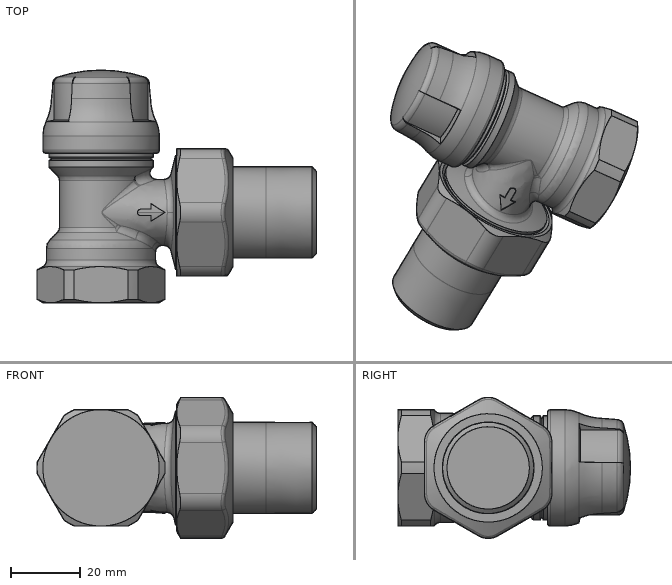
import cadquery as cq
import math


HEX_FLATS_TO_CORNERS = math.cos(math.pi / 6)

HEX_BOTTOM = -26.0
HEX_CORNER_BOTTOM = -25.0
HEX_CORNER_TOP = -16.55
HEX_TOP = -15.5
HEX_FLATS = 33.5
HEX_CORNER_RADIUS = 18.45
HEX_TOP_RADIUS = 16.6

COLLAR_RADIUS = 15.75
COLLAR_BOTTOM = -13.75
COLLAR_TOP = -8.9
WAIST_RADIUS = 12.0
COLLAR_ROUND = 3.5
WAIST_ROUND = 1.9
RIM_RADIUS = 15.05
RIM_BOTTOM = 13.03
RIM_TOP = 14.95
GROOVE_TOP = 15.9
GROOVE_RADIUS = 14.2

CAP_BOTTOM = 17.0
CAP_RADIUS = 16.8
CAP_EDGE_ROUND = 0.95
CAP_FLARE_BOTTOM = 22.07
CAP_FLARE_MIDDLE = (15.9, 26.07)
CAP_FLARE_TOP = (14.3, 32.75)
CAP_TOP_RADIUS = 13.95
CAP_TOP = 41.0
CAP_DOME_RADIUS = 40.0
CAP_CROWN_INSET = 1.15
CAP_CROWN_HEIGHT = 1.75
WINDOW_RADIUS = 13.6
WINDOW_BOTTOM_INNER = 26.57
WINDOW_BOTTOM_OUTER = 25.95
WINDOW_ANGLE = 47.2
WINDOW_CENTRES = (30, 150, 270)

TUBE_HALF_WIDTH = 9.55
TUBE_HALF_HEIGHT_AT_BODY = 11.98
TUBE_HALF_HEIGHT_AT_FLANGE = 12.95
FLANGE_START = 19.7
FLANGE_END = 21.45
FLANGE_RADIUS = 16.45
FLANGE_ROUND = 2.0
TUBE_BODY_ROUND = 1.8

ARROW_RAISE = 0.3
ARROW_TAIL = 10.5
ARROW_HEAD_START = 14.4
ARROW_TIP = 18.4
ARROW_SHAFT_WIDTH = 1.9
ARROW_HEAD_WIDTH = 5.0

NUT_LEFT = 21.75
NUT_RIGHT = 38.0
NUT_FLATS = 36.7
NUT_CORNER_ROUND = 5.6
NUT_CORNER_DISTANCE = 21.0
NUT_LEFT_FACE_RADIUS = 18.25
NUT_MOUTH_RADIUS = 17.3
NUT_MOUTH_DEPTH = 0.4
NUT_CHAMFER_ANGLE = 30
NUT_RIGHT_FACE_RADIUS = 15.6
NUT_RIGHT_EDGE_ROUND = 1.2

TAIL_END = 62.04
TAIL_RADIUS = 13.2
TAIL_TAPER_START = 47.5
TAIL_TAPER_RADIUS = 13.15
TAIL_CHAMFER = 1.3

EDGE_MARGIN = 0.1


def revolve_about_y(sketch):
    """Close a profile drawn as (radius, Y) and turn it about the body axis."""
    return sketch.close().revolve(360, (0, 0, 0), (0, 1, 0))


def revolve_about_x(sketch):
    """Close a profile drawn as (X, radius) and turn it about the branch axis."""
    return sketch.close().revolve(360, (0, 0, 0), (1, 0, 0))


def edge_ring(height, radius):
    """Select the circular edge of a given radius lying at a given Y on the body axis."""
    reach = radius + EDGE_MARGIN
    return cq.selectors.BoxSelector(
        (-reach, height - EDGE_MARGIN, -reach),
        (reach, height + EDGE_MARGIN, reach),
        boundingbox=True,
    )


def make_hex_end():
    across_corners = HEX_FLATS / HEX_FLATS_TO_CORNERS
    prism = (
        cq.Workplane("XZ", origin=(0, HEX_BOTTOM, 0))
        .polygon(6, across_corners)
        .extrude(HEX_BOTTOM - HEX_TOP)
    )
    envelope = revolve_about_y(
        cq.Workplane("XY")
        .moveTo(0, HEX_BOTTOM)
        .lineTo(HEX_FLATS / 2, HEX_BOTTOM)
        .lineTo(HEX_CORNER_RADIUS, HEX_CORNER_BOTTOM)
        .lineTo(HEX_CORNER_RADIUS, HEX_CORNER_TOP)
        .lineTo(HEX_TOP_RADIUS, HEX_TOP)
        .lineTo(0, HEX_TOP)
    )
    return prism.intersect(envelope)


def make_body():
    cone_bottom = COLLAR_TOP + COLLAR_RADIUS - WAIST_RADIUS
    cone_top = RIM_BOTTOM - (RIM_RADIUS - WAIST_RADIUS)
    groove_middle = (RIM_TOP + GROOVE_TOP) / 2
    body = revolve_about_y(
        cq.Workplane("XY")
        .moveTo(0, CAP_BOTTOM)
        .lineTo(RIM_RADIUS, CAP_BOTTOM)
        .lineTo(RIM_RADIUS, GROOVE_TOP)
        .lineTo(GROOVE_RADIUS, groove_middle)
        .lineTo(RIM_RADIUS, RIM_TOP)
        .lineTo(RIM_RADIUS, RIM_BOTTOM)
        .lineTo(WAIST_RADIUS, cone_top)
        .lineTo(WAIST_RADIUS, cone_bottom)
        .lineTo(COLLAR_RADIUS, COLLAR_TOP)
        .lineTo(COLLAR_RADIUS, COLLAR_BOTTOM)
        .tangentArcPoint((HEX_TOP_RADIUS, HEX_TOP), relative=False)
        .lineTo(0, HEX_TOP)
    )
    body = body.edges(edge_ring(cone_top, WAIST_RADIUS)).fillet(WAIST_ROUND)
    body = body.edges(edge_ring(cone_bottom, WAIST_RADIUS)).fillet(WAIST_ROUND)
    return body.edges(edge_ring(COLLAR_TOP, COLLAR_RADIUS)).fillet(COLLAR_ROUND)


def dome_height(radius):
    """Y of the domed cap top at a distance from the body axis."""
    return CAP_TOP - CAP_DOME_RADIUS + math.sqrt(CAP_DOME_RADIUS ** 2 - radius ** 2)


def add_crown(sketch, side_radius):
    """Finish a cap profile: side edge at the given radius, rounded shoulder, domed top."""
    dome_edge = side_radius - CAP_CROWN_INSET
    dome_middle = dome_edge / 2
    return (
        sketch
        .lineTo(side_radius, dome_height(dome_edge) - CAP_CROWN_HEIGHT)
        .tangentArcPoint((dome_edge, dome_height(dome_edge)), relative=False)
        .threePointArc((dome_middle, dome_height(dome_middle)), (0, CAP_TOP))
    )


def make_cap():
    flare = (
        cq.Workplane("XY")
        .moveTo(0, CAP_BOTTOM)
        .lineTo(CAP_RADIUS - CAP_EDGE_ROUND, CAP_BOTTOM)
        .tangentArcPoint((CAP_RADIUS, CAP_BOTTOM + CAP_EDGE_ROUND), relative=False)
        .lineTo(CAP_RADIUS, CAP_FLARE_BOTTOM)
        .tangentArcPoint(CAP_FLARE_MIDDLE, relative=False)
        .tangentArcPoint(CAP_FLARE_TOP, relative=False)
    )
    cap = revolve_about_y(add_crown(flare, CAP_TOP_RADIUS))
    core_base = cq.Workplane("XY").moveTo(0, CAP_BOTTOM).lineTo(WINDOW_RADIUS, CAP_BOTTOM)
    core = revolve_about_y(add_crown(core_base, WINDOW_RADIUS))
    sector = (
        cq.Workplane("XY")
        .moveTo(0, WINDOW_BOTTOM_INNER)
        .lineTo(WINDOW_RADIUS, WINDOW_BOTTOM_INNER)
        .lineTo(CAP_RADIUS, WINDOW_BOTTOM_OUTER)
        .lineTo(CAP_RADIUS, CAP_TOP)
        .lineTo(0, CAP_TOP)
        .close()
        .revolve(WINDOW_ANGLE, (0, 0, 0), (0, 1, 0))
    )
    for centre in WINDOW_CENTRES:
        turn = -centre - WINDOW_ANGLE / 2
        window = sector.rotate((0, 0, 0), (0, 1, 0), turn).cut(core)
        cap = cap.cut(window)
    return cap


def make_tube(raise_by=0.0):
    return (
        cq.Workplane("YZ")
        .ellipse(TUBE_HALF_WIDTH + raise_by, TUBE_HALF_HEIGHT_AT_BODY + raise_by)
        .workplane(offset=FLANGE_END)
        .ellipse(TUBE_HALF_WIDTH + raise_by, TUBE_HALF_HEIGHT_AT_FLANGE + raise_by)
        .loft(ruled=True)
    )


def make_flange():
    return revolve_about_x(
        cq.Workplane("XY")
        .moveTo(FLANGE_START, 0)
        .lineTo(FLANGE_START, TUBE_HALF_WIDTH)
        .lineTo(FLANGE_END, FLANGE_RADIUS)
        .lineTo(NUT_LEFT + NUT_MOUTH_DEPTH, FLANGE_RADIUS)
        .lineTo(NUT_LEFT + NUT_MOUTH_DEPTH, 0)
    )


def make_arrow():
    shaft = ARROW_SHAFT_WIDTH / 2
    head = ARROW_HEAD_WIDTH / 2
    outline = (
        cq.Workplane("XY")
        .moveTo(ARROW_HEAD_START, -shaft)
        .lineTo(ARROW_HEAD_START, -head)
        .lineTo(ARROW_TIP, 0)
        .lineTo(ARROW_HEAD_START, head)
        .lineTo(ARROW_HEAD_START, shaft)
        .lineTo(ARROW_TAIL + shaft, shaft)
        .threePointArc((ARROW_TAIL, 0), (ARROW_TAIL + shaft, -shaft))
        .close()
        .extrude(2 * TUBE_HALF_HEIGHT_AT_FLANGE, both=True)
    )
    return outline.intersect(make_tube(ARROW_RAISE))


def make_nut():
    across_corners = NUT_FLATS / HEX_FLATS_TO_CORNERS
    prism = (
        cq.Workplane("YZ", origin=(NUT_LEFT, 0, 0))
        .transformed(rotate=(0, 0, 90))
        .polygon(6, across_corners)
        .extrude(NUT_RIGHT - NUT_LEFT)
        .edges("|X")
        .fillet(NUT_CORNER_ROUND)
    )
    chamfer_slope = math.tan(math.radians(NUT_CHAMFER_ANGLE))
    left_run = (NUT_CORNER_DISTANCE - NUT_LEFT_FACE_RADIUS) * chamfer_slope
    right_run = (NUT_CORNER_DISTANCE - NUT_RIGHT_FACE_RADIUS) * chamfer_slope
    envelope = revolve_about_x(
        cq.Workplane("XY")
        .moveTo(NUT_LEFT + NUT_MOUTH_DEPTH, 0)
        .lineTo(NUT_LEFT + NUT_MOUTH_DEPTH, FLANGE_RADIUS)
        .lineTo(NUT_LEFT, NUT_MOUTH_RADIUS)
        .lineTo(NUT_LEFT, NUT_LEFT_FACE_RADIUS)
        .lineTo(NUT_LEFT + left_run, NUT_CORNER_DISTANCE)
        .lineTo(NUT_RIGHT - right_run, NUT_CORNER_DISTANCE)
        .lineTo(NUT_RIGHT, NUT_RIGHT_FACE_RADIUS)
        .lineTo(NUT_RIGHT, 0)
    )
    right_rim = cq.selectors.BoxSelector(
        (NUT_RIGHT - right_run - EDGE_MARGIN, -NUT_CORNER_DISTANCE, -NUT_CORNER_DISTANCE),
        (NUT_RIGHT - EDGE_MARGIN, NUT_CORNER_DISTANCE, NUT_CORNER_DISTANCE),
        boundingbox=True,
    )
    return prism.intersect(envelope).edges(right_rim).fillet(NUT_RIGHT_EDGE_ROUND)


def make_tail():
    return revolve_about_x(
        cq.Workplane("XY")
        .moveTo(NUT_RIGHT, 0)
        .lineTo(NUT_RIGHT, TAIL_RADIUS)
        .lineTo(TAIL_TAPER_START, TAIL_RADIUS)
        .lineTo(TAIL_END - TAIL_CHAMFER, TAIL_TAPER_RADIUS)
        .lineTo(TAIL_END, TAIL_TAPER_RADIUS - TAIL_CHAMFER)
        .lineTo(TAIL_END, 0)
    )


def make_branch():
    branch = make_tube().union(make_flange())
    flange_root = cq.selectors.BoxSelector(
        (FLANGE_START - EDGE_MARGIN, -FLANGE_RADIUS, -FLANGE_RADIUS),
        (FLANGE_END - EDGE_MARGIN, FLANGE_RADIUS, FLANGE_RADIUS),
        boundingbox=True,
    )
    return branch.edges(flange_root).fillet(FLANGE_ROUND)


def join_body_and_branch():
    joined = make_body().union(make_branch())
    reach_y = TUBE_HALF_WIDTH + EDGE_MARGIN
    reach_z = WAIST_RADIUS + EDGE_MARGIN
    seam = cq.selectors.BoxSelector(
        (0, -reach_y, -reach_z),
        (COLLAR_RADIUS + EDGE_MARGIN, reach_y, reach_z),
        boundingbox=True,
    )
    return joined.edges(seam).fillet(TUBE_BODY_ROUND)


result = join_body_and_branch()
for piece in (make_hex_end(), make_cap(), make_arrow(), make_nut(), make_tail()):
    result = result.union(piece)